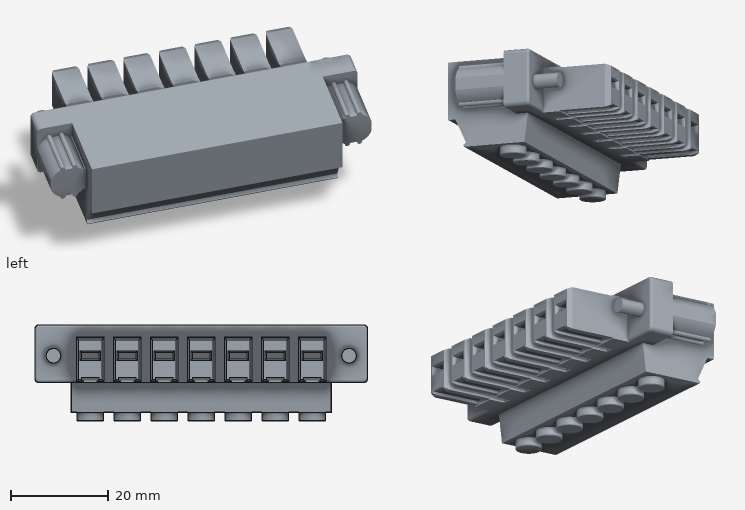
import cadquery as cq

LENGTH_X = 35.3
LENGTH_Y = 68.5
HEIGHT_Z = 19.8

POLE_COUNT = 7
ROW_SPAN = 45.7
pole_pitch = ROW_SPAN / (POLE_COUNT - 1)
pole_positions = [i * pole_pitch - ROW_SPAN / 2 for i in range(POLE_COUNT)]

FLANGE_FRONT = 14.65
FLANGE_REAR = 20.3
FLANGE_BOTTOM = 7.9
FLANGE_CORNER_RADIUS = 0.9
FLANGE_FRONT_RADIUS = 0.55

HOUSING_WIDTH = 53.6
HOUSING_BOTTOM = 7.7
TERMINAL_BOTTOM = 1.8
TERMINAL_TOP_FRONT = 17.75
TERMINAL_BOTTOM_FRONT = 18.5
TERMINAL_TOP_REAR = 33.7
LIP_NECK = (31.4, 2.7)
LIP_TIP = (32.0, 2.1)
LIP_BOTTOM_X = 31.8

BLOCK_WIDTH = 5.7
BLOCK_BOTTOM = 8.1
BLOCK_TOP = 17.1
ROOT_FRONT = 11.1
ROOT_STEP = 0.2
TIP_TAPER_LENGTH = 1.1
TIP_TAPER_INSET = 0.4

WINDOW_WIDTH = 3.55
WINDOW_HEIGHT = 1.45
WINDOW_CENTER_Z = 13.4
WINDOW_DEPTH = 6.85
MOUTH_FLARE = 0.31
MOUTH_DEPTH = 0.7

GROOVE_WIDTH = 3.6
GROOVE_MOUTH_WIDTH = 2.75
GROOVE_TOP = 8.9
GROOVE_LIP_TOP = 8.4

PIN_DIAMETER = 3.0
PIN_FRONT = 9.3
PIN_CENTER_Z = 13.4
PIN_SPACING = 60.85
pin_y = PIN_SPACING / 2
pin_edge_distance = LENGTH_Y / 2 - pin_y
KNOB_RADIUS = 4.05
KNOB_REAR = 30.85
KNOB_FLAT_HEIGHT = 3.55
RIDGE_CENTER_HEIGHT = 3.8
RIDGE_RADIUS = 0.515
RIDGE_OFFSET = 1.3
RIB_THICKNESS = 0.3
RIB_HEIGHT = 5.5

SCREW_DIAMETER = 5.5
SCREW_X = 22.5
SCREW_RIM_CHAMFER = 0.15


def box(x_range, y_center, width, z_range):
    """Box between two X and two Z planes, centred on y_center."""
    (x0, x1), (z0, z1) = x_range, z_range
    return cq.Workplane("XY").box(x1 - x0, width, z1 - z0, centered=False).translate(
        (x0, y_center - width / 2, z0)
    )


def rod(x_range, y, z, diameter):
    """Cylinder along X between two X planes."""
    return (
        cq.Workplane("YZ", origin=(x_range[0], y, z)).circle(diameter / 2).extrude(x_range[1] - x_range[0])
    )


def make_flange():
    plate = box((FLANGE_FRONT, FLANGE_REAR), 0, LENGTH_Y, (FLANGE_BOTTOM, HEIGHT_Z))
    plate = plate.edges("|X").fillet(FLANGE_CORNER_RADIUS)
    plate = plate.faces("<X").edges().fillet(FLANGE_FRONT_RADIUS)
    square_edge = box(
        (FLANGE_FRONT, FLANGE_REAR), 0, ROW_SPAN + BLOCK_WIDTH,
        (FLANGE_BOTTOM, FLANGE_BOTTOM + 2 * FLANGE_FRONT_RADIUS),
    )
    return plate.union(square_edge)


def make_housing():
    outline = [
        (FLANGE_FRONT + FLANGE_FRONT_RADIUS, HEIGHT_Z),
        (LENGTH_X, HEIGHT_Z),
        (LENGTH_X, HOUSING_BOTTOM),
        (TERMINAL_TOP_REAR, HOUSING_BOTTOM),
        LIP_NECK,
        LIP_TIP,
        (LIP_BOTTOM_X, TERMINAL_BOTTOM),
        (TERMINAL_BOTTOM_FRONT, TERMINAL_BOTTOM),
        (TERMINAL_TOP_FRONT, FLANGE_BOTTOM),
        (FLANGE_FRONT + FLANGE_FRONT_RADIUS, FLANGE_BOTTOM),
    ]
    return cq.Workplane("XZ").polyline(outline).close().extrude(HOUSING_WIDTH / 2, both=True)


def frustum(x_range, z_center, front_size, rear_size):
    """Tapered block along X, given its (width, height) at each end."""
    return (
        cq.Workplane("YZ", origin=(x_range[0], 0, z_center))
        .rect(*front_size)
        .workplane(offset=x_range[1] - x_range[0])
        .rect(*rear_size)
        .loft(ruled=True)
    )


def make_contact():
    """One contact block centred on Y = 0."""
    height = BLOCK_TOP - BLOCK_BOTTOM
    center_z = (BLOCK_TOP + BLOCK_BOTTOM) / 2
    tip_size = (BLOCK_WIDTH - 2 * TIP_TAPER_INSET, height - 2 * TIP_TAPER_INSET)
    tip = frustum((0, TIP_TAPER_LENGTH), center_z, tip_size, (BLOCK_WIDTH, height))
    shank = box((TIP_TAPER_LENGTH, ROOT_FRONT), 0, BLOCK_WIDTH, (BLOCK_BOTTOM, BLOCK_TOP))
    root = box(
        (ROOT_FRONT, FLANGE_REAR),
        0, BLOCK_WIDTH, (BLOCK_BOTTOM - ROOT_STEP, BLOCK_TOP + ROOT_STEP),
    )

    window = box(
        (0, WINDOW_DEPTH), 0, WINDOW_WIDTH,
        (WINDOW_CENTER_Z - WINDOW_HEIGHT / 2, WINDOW_CENTER_Z + WINDOW_HEIGHT / 2),
    )
    mouth_size = (WINDOW_WIDTH + 2 * MOUTH_FLARE, WINDOW_HEIGHT + 2 * MOUTH_FLARE)
    mouth = frustum((0, MOUTH_DEPTH), WINDOW_CENTER_Z, mouth_size, (WINDOW_WIDTH, WINDOW_HEIGHT))

    groove_outline = [
        (-GROOVE_WIDTH / 2, GROOVE_TOP),
        (GROOVE_WIDTH / 2, GROOVE_TOP),
        (GROOVE_WIDTH / 2, GROOVE_LIP_TOP),
        (GROOVE_MOUTH_WIDTH / 2, BLOCK_BOTTOM),
        (-GROOVE_MOUTH_WIDTH / 2, BLOCK_BOTTOM),
        (-GROOVE_WIDTH / 2, GROOVE_LIP_TOP),
    ]
    groove = cq.Workplane("YZ").polyline(groove_outline).close().extrude(ROOT_FRONT)

    return tip.union(shank).union(root).cut(window).cut(mouth).cut(groove)


def make_knob(side):
    """Fastener knob at one end of the flange: a round bar with ridged top and bottom."""
    center_y = side * pin_y
    x_range = (FLANGE_REAR, KNOB_REAR)
    barrel = rod(x_range, center_y, PIN_CENTER_Z, 2 * KNOB_RADIUS)
    envelope = box(
        x_range, center_y, 2 * pin_edge_distance,
        (PIN_CENTER_Z - KNOB_FLAT_HEIGHT, PIN_CENTER_Z + KNOB_FLAT_HEIGHT),
    )
    knob = barrel.intersect(envelope)
    for ridge_side in (-1, 1):
        ridge_y = center_y + ridge_side * RIDGE_OFFSET
        knob = knob.union(box(
            x_range, ridge_y, 2 * RIDGE_RADIUS,
            (PIN_CENTER_Z - RIDGE_CENTER_HEIGHT, PIN_CENTER_Z + RIDGE_CENTER_HEIGHT),
        ))
        for end in (-1, 1):
            ridge_z = PIN_CENTER_Z + end * RIDGE_CENTER_HEIGHT
            knob = knob.union(rod(x_range, ridge_y, ridge_z, 2 * RIDGE_RADIUS))
    rib = box(
        x_range, side * (HOUSING_WIDTH + RIB_THICKNESS) / 2, RIB_THICKNESS,
        (PIN_CENTER_Z - RIB_HEIGHT / 2, PIN_CENTER_Z + RIB_HEIGHT / 2),
    )
    return knob.union(rib)


def make_screw():
    """One screw head under the terminal block, centred on Y = 0."""
    head = cq.Workplane("XY").center(SCREW_X, 0).circle(SCREW_DIAMETER / 2).extrude(TERMINAL_BOTTOM)
    return head.faces("<Z").chamfer(SCREW_RIM_CHAMFER)


result = make_flange().union(make_housing())

contact = make_contact()
screw = make_screw()
for y in pole_positions:
    result = result.union(contact.translate((0, y, 0))).union(screw.translate((0, y, 0)))

for side in (-1, 1):
    result = result.union(make_knob(side))
    result = result.union(rod((PIN_FRONT, FLANGE_REAR), side * pin_y, PIN_CENTER_Z, PIN_DIAMETER))